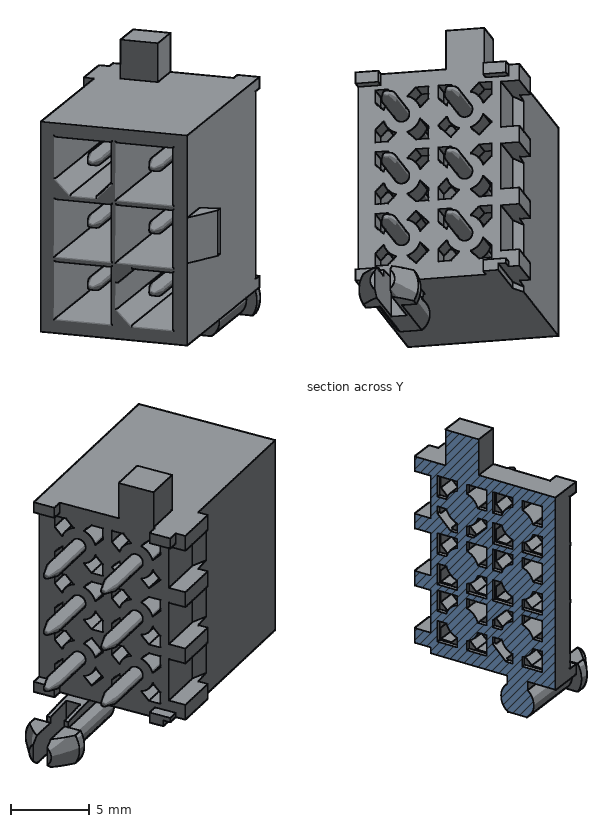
import cadquery as cq
import math


BODY_WIDTH = 9.88
BODY_DEPTH = 13.54
BODY_HEIGHT = 13.96
REAR = BODY_DEPTH
LEFT = -BODY_WIDTH / 2
RIGHT = BODY_WIDTH / 2

PITCH = 4.145
COLUMNS = (-PITCH / 2, PITCH / 2)
GRID_RISE = 0.03
ROWS = tuple(BODY_HEIGHT / 2 + GRID_RISE + step * PITCH for step in (-1, 0, 1))

CAVITY_SIZE = 3.69
MOUTH_ROUND = 0.16
KEY_CUT = 1.0
CORNERS = {"-X-Z": (-1, -1), "+X-Z": (1, -1), "+X+Z": (1, 1), "-X+Z": (-1, 1)}
KEYED_CORNERS = {
    (COLUMNS[0], ROWS[2]): ("-X-Z", "+X-Z"),
    (COLUMNS[1], ROWS[0]): ("-X-Z", "-X+Z"),
}

REAR_WALL = 1.5
PIN_SEAT_HEIGHT = 0.5
PIN_SEAT_RADIUS = 1.25
SPOKE_WIDTH = 0.74
WINDOW_SIZE = 3.5

PIN_DIAMETER = 1.0
PIN_FRONT = 1.35
PIN_REAR_LENGTH = 4.49
PIN_TIP_LENGTH = 1.05
PIN_TIP_RADIUS = 0.17
PIN_TIP_ROUND = 0.15

RIB_HEIGHT = 1.1
RIB_THICKNESS = 0.7
RIB_LENGTH = 3.04
RIB_COUNT = 4
RECESS_DEPTH = 0.5
RECESS_LENGTH = 3.2
RECESS_RAMP = 0.92
RECESS_TAPER = 0.08

STANDOFF_WIDTH = 1.5
STANDOFF_HEIGHT = 0.75
STANDOFF_LENGTH = 0.74

BLOCK_SIZE = 2.52
BLOCK_HEIGHT = 2.59

LATCH_WIDTH = 3.02
LATCH_REACH = 1.28
LATCH_TIP_FRONT = 2.27
LATCH_TIP_REAR = 2.75
LATCH_ROOT_REAR = 2.48

LOCK_X = COLUMNS[1]
LOCK_HEIGHT = 2.06
LOCK_DROP = 2.6
LOCK_Z = LOCK_HEIGHT / 2 - LOCK_DROP
SHAFT_RADIUS = 1.25
SHAFT_FRONT = REAR - 2.46
HEAD_RADIUS = 1.95
HEAD_BASE = REAR + 2.88
HEAD_BAND = 0.69
HEAD_END = REAR + 5.24
HEAD_END_RADIUS = 0.8
SLOT_WIDTH = 1.0
SLOT_START = REAR + STANDOFF_LENGTH
STEM_WIDTH = 1.56
STEM_DROP = 0.14
STEM_FILLET = 0.6


def box(x_range, y_range, z_range):
    """Box given by its limits along each axis."""
    corner = (x_range[0], y_range[0], z_range[0])
    length, width, height = (high - low for low, high in (x_range, y_range, z_range))
    return cq.Workplane("XY").box(length, width, height, centered=False).translate(corner)


def xz_plane(x, y, z):
    """Work plane parallel to XZ; extruding by a negative length runs towards +Y."""
    return cq.Workplane("XZ", origin=(x, y, z))


def pocket_outline(size, corner_cut, keyed):
    """Square outline whose keyed corners are cut at 45 degrees."""
    half = size / 2
    points = []
    for corner, (sx, sz) in CORNERS.items():
        if corner not in keyed:
            points.append((sx * half, sz * half))
            continue
        along_x = (sx * (half - corner_cut), sz * half)
        along_z = (sx * half, sz * (half - corner_cut))
        points += [along_z, along_x] if sx == sz else [along_x, along_z]
    return points


def make_windows(x, z, keyed):
    """Four openings in the rear wall, left between the spokes of the pin seat."""
    start = REAR - REAR_WALL - PIN_SEAT_HEIGHT
    depth = REAR - start
    side_gap = (CAVITY_SIZE - WINDOW_SIZE) / 2
    outline = pocket_outline(WINDOW_SIZE, KEY_CUT - 2 * side_gap, keyed)
    opening = xz_plane(x, start, z).polyline(outline).close().extrude(-depth)
    disc = xz_plane(x, start, z).circle(PIN_SEAT_RADIUS).extrude(-depth)
    neck = SPOKE_WIDTH / 2
    neck_height = math.sqrt(PIN_SEAT_RADIUS ** 2 - neck ** 2)
    wall = CAVITY_SIZE / 2
    flare = neck + wall - neck_height
    spoke_points = [
        (-neck, 0),
        (neck, 0),
        (neck, neck_height),
        (flare, wall),
        (-flare, wall),
        (-neck, neck_height),
    ]
    spoke = xz_plane(x, start, z).polyline(spoke_points).close().extrude(-depth)
    opening = opening.cut(disc)
    for quarter in range(4):
        opening = opening.cut(spoke.rotate((x, 0, z), (x, 1, z), 90 * quarter))
    return opening


def make_cavity(x, z, keyed):
    """Cavity that leaves the disc and spokes of the pin seat standing."""
    depth = REAR - REAR_WALL
    outline = pocket_outline(CAVITY_SIZE, KEY_CUT, keyed)
    cavity = xz_plane(x, 0, z).polyline(outline).close().extrude(-depth)
    seat_front = depth - PIN_SEAT_HEIGHT
    seat = xz_plane(x, seat_front, z).circle(PIN_SEAT_RADIUS).extrude(-PIN_SEAT_HEIGHT)
    for size_x, size_z in ((SPOKE_WIDTH, CAVITY_SIZE), (CAVITY_SIZE, SPOKE_WIDTH)):
        seat = seat.union(xz_plane(x, seat_front, z).rect(size_x, size_z).extrude(-PIN_SEAT_HEIGHT))
    return cavity.cut(seat)


def round_mouths(body):
    """Round the edge where each cavity opens into the mating face."""
    span_x = COLUMNS[-1] + CAVITY_SIZE / 2 + MOUTH_ROUND
    low = (-span_x, -MOUTH_ROUND, ROWS[0] - CAVITY_SIZE / 2 - MOUTH_ROUND)
    high = (span_x, MOUTH_ROUND, ROWS[-1] + CAVITY_SIZE / 2 + MOUTH_ROUND)
    mouth_edges = body.faces("<Y").edges(cq.selectors.BoxSelector(low, high))
    return mouth_edges.fillet(MOUTH_ROUND)


def make_pin(x, z):
    """Round pin with a rounded conical tip at both ends."""
    radius = PIN_DIAMETER / 2
    rear_end = REAR + PIN_REAR_LENGTH
    profile = [
        (0, PIN_FRONT),
        (PIN_TIP_RADIUS, PIN_FRONT),
        (radius, PIN_FRONT + PIN_TIP_LENGTH),
        (radius, rear_end - PIN_TIP_LENGTH),
        (PIN_TIP_RADIUS, rear_end),
        (0, rear_end),
    ]
    pin = cq.Workplane("XY").polyline(profile).close().revolve(360, (0, 0), (0, 1))
    pin = pin.edges("<Y or >Y").fillet(PIN_TIP_ROUND)
    return pin.translate((x, 0, z))


def add_standoffs(body):
    """Feet on the rear face, one in each corner."""
    for x_start in (LEFT, RIGHT - STANDOFF_WIDTH):
        for z_start in (0, BODY_HEIGHT - STANDOFF_HEIGHT):
            body = body.union(box(
                (x_start, x_start + STANDOFF_WIDTH),
                (REAR - STANDOFF_LENGTH, REAR + STANDOFF_LENGTH),
                (z_start, z_start + STANDOFF_HEIGHT),
            ))
    return body


def cut_side_recess(body):
    """Recess along the rear of the -X side, running out forwards in a ramp."""
    top_rib_bottom = BODY_HEIGHT - RIB_HEIGHT
    floor = LEFT + RECESS_DEPTH
    floor_front = REAR - RECESS_LENGTH
    rear_limit = REAR + STANDOFF_LENGTH
    profile = [
        (LEFT, floor_front - RECESS_RAMP),
        (floor, floor_front),
        (floor, rear_limit),
        (LEFT, rear_limit),
    ]
    recess = cq.Workplane("XY").polyline(profile).close().extrude(top_rib_bottom)
    for rib_bottom in rib_bottoms():
        rib_top = rib_bottom + RIB_HEIGHT
        land_outline = [
            (rear_limit, rib_bottom),
            (floor_front, rib_bottom),
            (floor_front - RECESS_RAMP, rib_bottom - RECESS_TAPER),
            (floor_front - RECESS_RAMP, rib_top + RECESS_TAPER),
            (floor_front, rib_top),
            (rear_limit, rib_top),
        ]
        land = cq.Workplane("YZ", origin=(LEFT, 0, 0)).polyline(land_outline).close()
        recess = recess.cut(land.extrude(RECESS_DEPTH))
    return body.cut(recess)


def rib_bottoms():
    """Undersides of the ribs, counted down from the one flush with the top."""
    return [BODY_HEIGHT - RIB_HEIGHT - step * PITCH for step in range(RIB_COUNT)]


def add_ribs(body):
    """Ribs standing out from the -X side."""
    for rib_bottom in rib_bottoms():
        body = body.union(box(
            (LEFT - RIB_THICKNESS, LEFT),
            (REAR - RIB_LENGTH, REAR),
            (rib_bottom, rib_bottom + RIB_HEIGHT),
        ))
    return body


def make_block():
    """Square block on the top face, above the -X column and flush with the rear."""
    return box(
        (COLUMNS[0] - BLOCK_SIZE / 2, COLUMNS[0] + BLOCK_SIZE / 2),
        (REAR - BLOCK_SIZE, REAR),
        (BODY_HEIGHT, BODY_HEIGHT + BLOCK_HEIGHT),
    )


def make_latch():
    """Latch ramp on the +X side, rising from the mating face."""
    tip = RIGHT + LATCH_REACH
    profile = [(RIGHT, 0), (tip, LATCH_TIP_FRONT), (tip, LATCH_TIP_REAR), (RIGHT, LATCH_ROOT_REAR)]
    latch = cq.Workplane("XY").polyline(profile).close().extrude(LATCH_WIDTH)
    return latch.translate((0, 0, (BODY_HEIGHT - LATCH_WIDTH) / 2))


def make_board_lock():
    """Split peg with a barbed head, hung below the housing on a stem."""
    profile = [
        (0, SHAFT_FRONT),
        (SHAFT_RADIUS, SHAFT_FRONT),
        (SHAFT_RADIUS, HEAD_BASE),
        (HEAD_RADIUS, HEAD_BASE),
        (HEAD_RADIUS, HEAD_BASE + HEAD_BAND),
        (HEAD_END_RADIUS, HEAD_END),
        (0, HEAD_END),
    ]
    peg = cq.Workplane("XY").polyline(profile).close().revolve(360, (0, 0), (0, 1))
    peg = peg.translate((LOCK_X, 0, LOCK_Z))
    flats = box(
        (LOCK_X - HEAD_RADIUS, LOCK_X + HEAD_RADIUS),
        (SHAFT_FRONT, HEAD_END),
        (-LOCK_DROP, LOCK_HEIGHT - LOCK_DROP),
    )
    peg = peg.intersect(flats)

    arc_offset = STEM_FILLET * (1 - math.sqrt(0.5))
    stem = (
        cq.Workplane("YZ", origin=(LOCK_X - STEM_WIDTH / 2, 0, 0))
        .moveTo(SHAFT_FRONT, -STEM_FILLET)
        .threePointArc((SHAFT_FRONT - arc_offset, -arc_offset), (SHAFT_FRONT - STEM_FILLET, 0))
        .lineTo(SLOT_START, 0)
        .lineTo(HEAD_BASE, -STEM_DROP)
        .lineTo(HEAD_BASE, -STEM_FILLET)
        .close()
        .extrude(STEM_WIDTH)
    )
    slot = box(
        (LOCK_X - SLOT_WIDTH / 2, LOCK_X + SLOT_WIDTH / 2),
        (SLOT_START, HEAD_END),
        (-LOCK_DROP, 0),
    )
    return peg.union(stem).cut(slot)


def make_housing():
    """Housing with its outside features, cavities and rear windows."""
    body = box((LEFT, RIGHT), (0, REAR), (0, BODY_HEIGHT))
    body = add_standoffs(body)
    body = cut_side_recess(body)
    body = add_ribs(body)
    body = body.union(make_block()).union(make_latch()).union(make_board_lock())
    for x in COLUMNS:
        for z in ROWS:
            keyed = KEYED_CORNERS.get((x, z), ())
            body = body.cut(make_cavity(x, z, keyed)).cut(make_windows(x, z, keyed))
    return round_mouths(body)


result = make_housing()
for pin_x in COLUMNS:
    for pin_z in ROWS:
        result = result.union(make_pin(pin_x, pin_z))